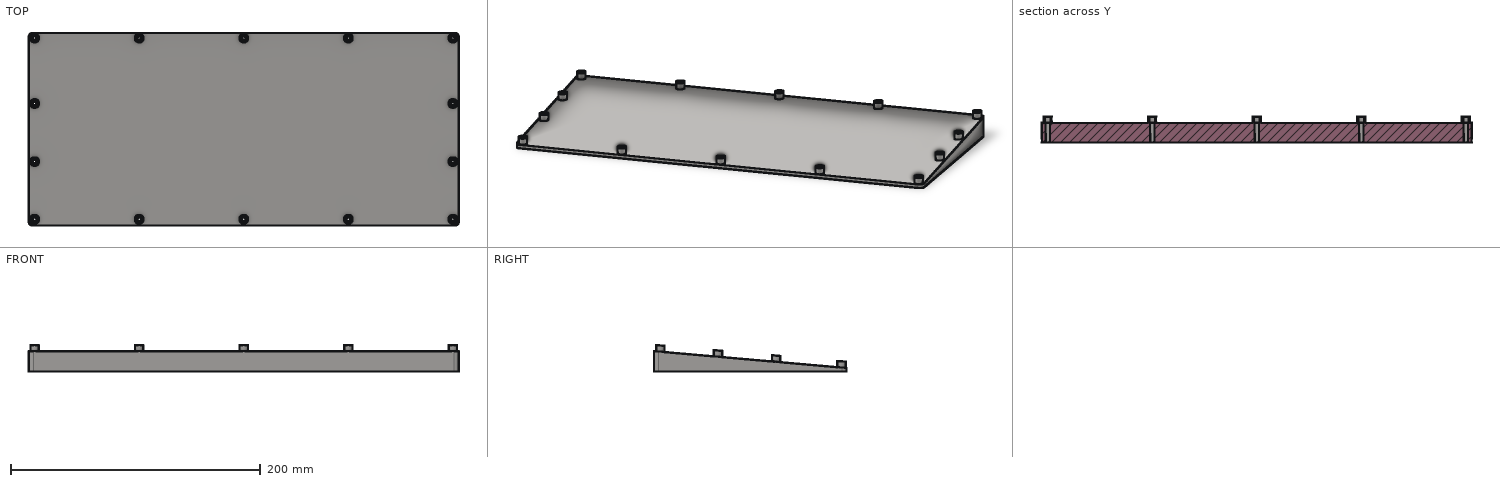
import cadquery as cq
import math

length = 345.0
depth = 154.5
total_height = 21.5

tilt_angle = 5.0
back_height = 3.0
corner_radius = 3.8
slope = math.tan(math.radians(tilt_angle))
front_height = back_height + depth * slope

standoff_diameter = 7.0
bore_diameter = 4.0
screw_hole_diameter = 3.0
end_inset = 5.0
front_inset = 5.2
back_inset = 4.0
front_side_spacing = 46.2
back_side_spacing = 52.5
row_count = 5

highest_point_drop = slope * (front_inset - standoff_diameter / 2)
standoff_rise = total_height - front_height + highest_point_drop

end_x = length / 2 - end_inset
front_y = -depth / 2 + front_inset
back_y = depth / 2 - back_inset
row_pitch = 2 * end_x / (row_count - 1)
row_xs = [-end_x + i * row_pitch for i in range(row_count)]
row_places = [(x, y) for x in row_xs for y in (front_y, back_y)]
side_ys = (front_y + front_side_spacing, back_y - back_side_spacing)
side_places = [(x, y) for x in (-end_x, end_x) for y in side_ys]
standoff_places = row_places + side_places


def wedge_block(lift=0.0):
    """Square-cornered wedge whose sloping top is raised vertically by lift."""
    return (
        cq.Workplane("YZ")
        .moveTo(-depth / 2, 0)
        .lineTo(depth / 2, 0)
        .lineTo(depth / 2, back_height + lift)
        .lineTo(-depth / 2, front_height + lift)
        .close()
        .extrude(length / 2, both=True)
    )


def upright_cylinders(diameter):
    """Full-height vertical cylinders at every standoff place."""
    return (
        cq.Workplane("XY")
        .pushPoints(standoff_places)
        .circle(diameter / 2)
        .extrude(total_height)
    )


def build_base():
    """Wedge with rounded corners and bored standoffs on its sloping top."""
    base = wedge_block().edges("|Z").fillet(corner_radius)

    standoffs = upright_cylinders(standoff_diameter).intersect(wedge_block(standoff_rise))
    base = base.union(standoffs)

    bores = upright_cylinders(bore_diameter).cut(wedge_block())
    base = base.cut(bores)

    return base.cut(upright_cylinders(screw_hole_diameter))


base = build_base()

result = cq.Compound.makeCompound([base.solids().val()])